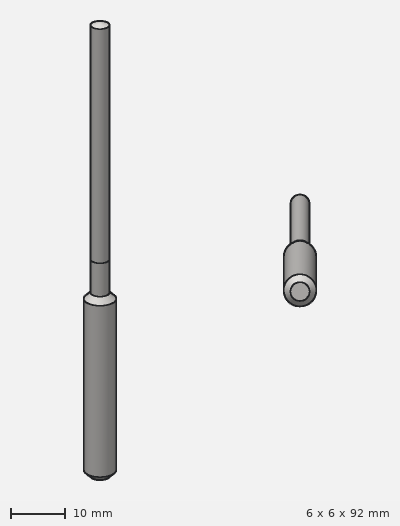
import cadquery as cq

total_length = 92.0
shank_diameter = 6.0
drill_diameter = 3.5
shank_shoulder_height = 36.0
cutting_length = 48.0
tip_height = 0.55

shank_radius = shank_diameter / 2
drill_radius = drill_diameter / 2
bevel = shank_radius - drill_radius
neck_top = total_length - cutting_length


def make_holder():
    """Bevelled shank with the slender neck that carries the cutting part."""
    profile = [
        (0, 0),
        (shank_radius - bevel, 0),
        (shank_radius, bevel),
        (shank_radius, shank_shoulder_height),
        (drill_radius, shank_shoulder_height + bevel),
        (drill_radius, neck_top),
        (0, neck_top),
    ]
    return cq.Workplane("XZ").polyline(profile).close().revolve(360, (0, 0), (0, 1))


def make_cutting_part():
    """Straight rod with a shallow conical point, standing on the neck."""
    profile = [
        (0, neck_top),
        (drill_radius, neck_top),
        (drill_radius, total_length - tip_height),
        (0, total_length),
    ]
    return cq.Workplane("XZ").polyline(profile).close().revolve(360, (0, 0), (0, 1))


holder = make_holder()
cutting_part = make_cutting_part()

result = cq.Compound.makeCompound([holder.val(), cutting_part.val()])